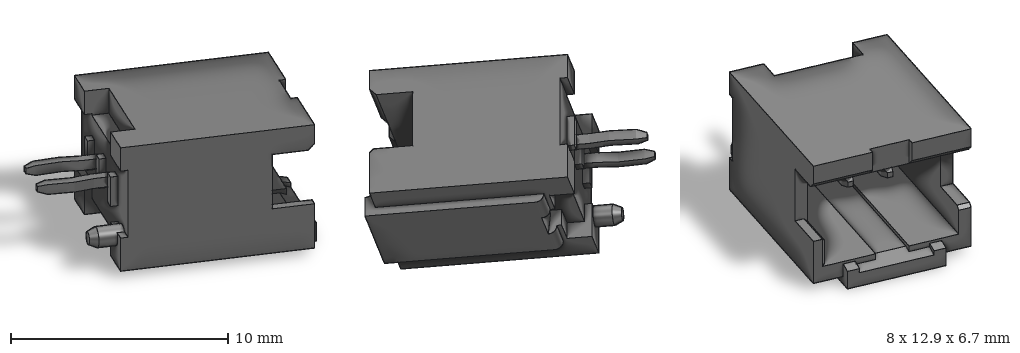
import cadquery as cq
import math


body_width = 8.0
body_length = 9.27
body_height = 6.3
foot_depth = 0.35
upper_foot_height = 1.19
lower_foot_height = 1.7
relief_width = 4.5
relief_depth = 1.16

side_wall = 0.63
roof_thickness = 1.27
floor_thickness = 0.8
cavity_back = 2.4
cavity_roof = body_height - roof_thickness
roof_lead_in = 0.31
roof_notch_width = 1.99
window_bottom = 2.26
window_start = 7.25
wall_chamfer = 0.18

slot_width = 1.68
plate_width = 5.0
plate_thickness = 0.4
plate_front = 1.38
plate_overhang = 0.49
plate_end = body_length + plate_overhang
side_lip_height = 0.54
side_ramp_angle = 15.0
ramp_width = 3.78
ramp_lip_height = 0.32
ramp_angle = 20.0
tongue_height = 0.62
tongue_front = plate_front + plate_thickness
tongue_face_angle = 6.0

pin_pitch = 1.99
pin_size = 0.5
pin_height = 3.27
pin_tip_size = 0.27
pin_inner_end = 6.86
pin_taper = 0.45
pin_bend_start = -0.5
pin_bend_peak = -1.48
pin_shoulder = -2.73
pin_end = -3.18
pin_bend_offset = 0.13
pin_shoulder_offset = 0.05
rib_width = 0.5
rib_height = 1.5
rib_center_height = 3.25
boss_x = 3.0
boss_height = 1.4
boss_diameter = 1.0
boss_tip_diameter = 0.62
boss_shoulder = -0.89
boss_end = -1.3


def block(x_range, y_range, z_range):
    """Box between the given limits along each axis."""
    size = [high - low for low, high in (x_range, y_range, z_range)]
    corner = (x_range[0], y_range[0], z_range[0])
    return cq.Workplane("XY").box(*size, centered=False).translate(corner)


def centered_block(width, y_range, z_range):
    """Box that is symmetric about X = 0."""
    return block((-width / 2, width / 2), y_range, z_range)


def side_prism(x_range, points):
    """Extrude a (Y, Z) outline along X."""
    outline = cq.Workplane("YZ").polyline(points).close()
    return outline.extrude(x_range[1] - x_range[0]).translate((x_range[0], 0, 0))


def make_housing():
    half_width = body_width / 2
    cavity_half_width = half_width - side_wall
    full_x = (-half_width, half_width)
    mouth = body_length

    housing = centered_block(body_width, (0, mouth), (0, body_height))
    upper_foot_bottom = body_height - upper_foot_height
    housing = housing.cut(centered_block(body_width, (0, foot_depth), (lower_foot_height, upper_foot_bottom)))
    housing = housing.cut(centered_block(relief_width, (0, relief_depth), (cavity_roof, body_height)))
    housing = housing.cut(centered_block(relief_width, (0, foot_depth), (0, body_height)))
    housing = housing.cut(centered_block(relief_width, (0, relief_depth), (0, floor_thickness)))

    cavity_y = (cavity_back, mouth)
    housing = housing.cut(centered_block(2 * cavity_half_width, cavity_y, (floor_thickness, cavity_roof)))
    housing = housing.cut(centered_block(body_width, (window_start, mouth), (window_bottom, cavity_roof)))
    housing = housing.cut(centered_block(slot_width, (0, mouth), (0, floor_thickness)))
    notch_y = (mouth - roof_lead_in, mouth)
    housing = housing.cut(centered_block(roof_notch_width, notch_y, (cavity_roof, body_height)))

    lead_in = side_prism(full_x, [
        (mouth - roof_lead_in, cavity_roof),
        (mouth, cavity_roof),
        (mouth, cavity_roof + roof_lead_in),
    ])
    housing = housing.cut(lead_in)

    corner_cut = side_prism((-half_width, -cavity_half_width), [
        (mouth - wall_chamfer, window_bottom),
        (mouth, window_bottom),
        (mouth, window_bottom - wall_chamfer),
    ])
    housing = housing.cut(corner_cut)

    margin = 0.13
    top_edge = cq.selectors.BoxSelector(
        (cavity_half_width - margin, window_start - margin, window_bottom - margin),
        (cavity_half_width + margin, mouth + margin, window_bottom + margin),
    )
    mouth_edge = cq.selectors.BoxSelector(
        (cavity_half_width - margin, mouth - margin, floor_thickness),
        (cavity_half_width + margin, mouth + margin, window_bottom),
    )
    return housing.edges(top_edge + mouth_edge).chamfer(wall_chamfer)


def make_wing(x_range):
    """Flat part of the locking plate on one side of the tongue, with a rounded front end."""
    arc_reach = plate_thickness * math.sqrt(0.5)
    arc_middle = (tongue_front - arc_reach, -arc_reach)
    outline = (
        cq.Workplane("YZ")
        .moveTo(plate_front, 0)
        .threePointArc(arc_middle, (tongue_front, -plate_thickness))
        .lineTo(plate_end, -plate_thickness)
        .lineTo(plate_end, 0)
        .close()
    )
    return outline.extrude(x_range[1] - x_range[0]).translate((x_range[0], 0, 0))


def make_lip(x_range, height, angle):
    """Part of the plate beyond the mouth; its top rises from the given height toward the housing."""
    rise = plate_overhang * math.tan(math.radians(angle))
    return side_prism(x_range, [
        (plate_end, -plate_thickness),
        (plate_end, height),
        (body_length, height + rise),
        (body_length, -plate_thickness),
    ])


def make_tongue():
    """Strip inside the floor slot, with a leaning front face and a ramp at the mouth."""
    half_slot = slot_width / 2
    ramp_length = (tongue_height - ramp_lip_height) / math.tan(math.radians(ramp_angle))
    face_lean = (tongue_height + plate_thickness) * math.tan(math.radians(tongue_face_angle))
    return side_prism((-half_slot, half_slot), [
        (tongue_front, -plate_thickness),
        (tongue_front - face_lean, tongue_height),
        (plate_end - ramp_length, tongue_height),
        (plate_end, ramp_lip_height),
        (plate_end, -plate_thickness),
    ])


def make_locking_plate():
    half_plate = plate_width / 2
    half_ramp = ramp_width / 2
    half_slot = slot_width / 2

    plate = make_tongue()
    plate = plate.union(make_lip((-half_ramp, half_ramp), ramp_lip_height, ramp_angle))
    for wing_x in ((-half_plate, -half_slot), (half_slot, half_plate)):
        plate = plate.union(make_wing(wing_x))
    for lip_x in ((-half_plate, -half_ramp), (half_ramp, half_plate)):
        plate = plate.union(make_lip(lip_x, side_lip_height, side_ramp_angle))
    return plate


def make_pin(side):
    """Square contact with a kinked tail; side is -1 or 1 and the tail kinks away from X = 0."""
    def section(y, size, offset=0.0):
        x = side * (pin_pitch / 2 + offset)
        half = size / 2
        corners = [(-half, -half), (half, -half), (half, half), (-half, half)]
        points = [cq.Vector(x + dx, y, pin_height + dz) for dx, dz in corners]
        return cq.Wire.makePolygon(points, close=True)

    sections = [
        section(pin_inner_end, pin_tip_size),
        section(pin_inner_end - pin_taper, pin_size),
        section(pin_bend_start, pin_size),
        section(pin_bend_peak, pin_size, pin_bend_offset),
        section(pin_shoulder, pin_size, pin_shoulder_offset),
        section(pin_end, pin_tip_size),
    ]
    return cq.Workplane(obj=cq.Solid.makeLoft(sections, True))


def make_rib(x):
    bottom = rib_center_height - rib_height / 2
    return block((x - rib_width / 2, x + rib_width / 2), (0, foot_depth), (bottom, bottom + rib_height))


def make_boss():
    radius = boss_diameter / 2
    tip_radius = boss_tip_diameter / 2
    profile = [
        (0, relief_depth),
        (radius, relief_depth),
        (radius, boss_shoulder),
        (tip_radius, boss_end),
        (0, boss_end),
    ]
    boss = cq.Workplane("XY").polyline(profile).close().revolve(360, (0, 0), (0, 1))
    return boss.translate((boss_x, 0, boss_height))


result = make_housing().union(make_locking_plate())
for pin_side in (-1, 1):
    result = result.union(make_pin(pin_side))
for rib_x in (-pin_pitch, 0, pin_pitch):
    result = result.union(make_rib(rib_x))
result = result.union(make_boss())